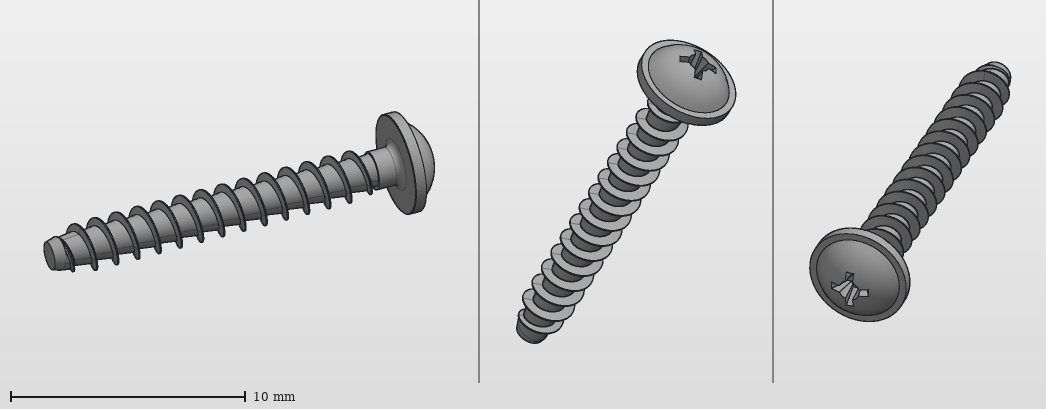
import cadquery as cq
import math


flange_radius = 2.2
flange_thickness = 0.5
flange_edge_chamfer = 0.03
dome_base_radius = 1.89
dome_apex_height = 1.62

recess_depth = 1.0
wing_width = 0.33
wing_half_length = 0.93
wing_taper_angle = 26.5
recess_core_radius = 0.47
recess_core_bottom_radius = 0.3

neck_radius = 0.84
neck_length = 1.1
neck_fillet = 0.31
shank_length = 16.0
core_radius = 0.67
tip_radius = 0.62
tip_taper_length = 0.5
tip_taper_radius = 0.765

pitch = 0.98
thread_radius = 1.1
thread_foot_radius = 0.77
faded_thread_radius = 0.78
crest_width = 0.06
foot_width = 0.22
turn_gap = 0.025
ramp_end_step = 0.002
buried_depth = 0.03
ridge_inner_radius = 0.5
thread_origin = -0.41

lead_in_end = 1.0
run_in_end = 2.5
run_out_start = 15.25
run_out_end = 16.25
thread_end = 17.5
crest_stations = [
    (0.0, faded_thread_radius),
    (lead_in_end, faded_thread_radius),
    (run_in_end, thread_radius),
    (run_out_start, thread_radius),
    (run_out_end, faded_thread_radius),
    (thread_end, faded_thread_radius),
]


clearance = 1.0
fuse_tolerance = 1e-4


def revolved_body():
    """Head with its domed top, neck and plain core as one profile turned about Y."""
    dome_rise = dome_apex_height - flange_thickness
    dome_sphere_radius = (dome_base_radius**2 + dome_rise**2) / (2 * dome_rise)
    dome_center = dome_apex_height - dome_sphere_radius
    dome_mid_radius = dome_base_radius / 2
    dome_mid_height = dome_center + math.sqrt(dome_sphere_radius**2 - dome_mid_radius**2)
    fillet_corner = neck_fillet * (1 - math.sqrt(0.5))
    return (
        cq.Workplane("YZ")
        .moveTo(dome_apex_height, 0)
        .threePointArc((dome_mid_height, dome_mid_radius), (flange_thickness, dome_base_radius))
        .lineTo(flange_thickness, flange_radius)
        .lineTo(flange_edge_chamfer, flange_radius)
        .lineTo(0, flange_radius - flange_edge_chamfer)
        .lineTo(0, neck_radius + neck_fillet)
        .threePointArc((-fillet_corner, neck_radius + fillet_corner), (-neck_fillet, neck_radius))
        .lineTo(-neck_length, neck_radius)
        .lineTo(-neck_length, core_radius)
        .lineTo(-shank_length, core_radius)
        .lineTo(-shank_length, 0)
        .close()
        .revolve(360, (0, 0), (1, 0))
    )


def ridge_section(crest_radius):
    """Corners (radius, axial offset) of the thread ridge; offsets grow towards the tip."""
    ramp_end = pitch - foot_width / 2 - turn_gap
    return [
        (ridge_inner_radius, -foot_width / 2),
        (core_radius - buried_depth, -foot_width / 2),
        (crest_radius, -crest_width / 2),
        (crest_radius, crest_width / 2),
        (thread_foot_radius, foot_width / 2),
        (core_radius + ramp_end_step, ramp_end),
        (ridge_inner_radius, ramp_end),
    ]


def crest_radius_at(turn):
    """Crest radius at a turn, read off the straight stretches between stations."""
    for (turn_a, crest_a), (turn_b, crest_b) in zip(crest_stations, crest_stations[1:]):
        if turn_a <= turn <= turn_b:
            return crest_a + (crest_b - crest_a) * (turn - turn_a) / (turn_b - turn_a)


def helix_edge(start_turn, end_turn, start_radius, end_radius, offset):
    """Right-handed helix about Z whose radius changes evenly from start to end."""
    height = (end_turn - start_turn) * pitch
    cone_angle = math.degrees(math.atan2(end_radius - start_radius, height))
    if start_radius == end_radius:
        helix = cq.Wire.makeHelix(pitch, height, start_radius)
    else:
        slant = 1 / math.cos(math.radians(cone_angle))
        helix = cq.Wire.makeHelix(pitch * slant, height * slant, start_radius, angle=cone_angle)
    lift = thread_origin + start_turn * pitch + offset
    turned = helix.rotate(cq.Vector(0, 0, 0), cq.Vector(0, 0, 1), 360 * start_turn)
    return turned.translate(cq.Vector(0, 0, lift)).Edges()[0]


def end_cap(turn, crest_radius):
    """Flat face closing the ridge at one of its ends."""
    corners = [
        cq.Vector(radius, 0, thread_origin + turn * pitch + offset)
        for radius, offset in ridge_section(crest_radius)
    ]
    outline = cq.Wire.makePolygon(corners, close=True)
    face = cq.Face.makeFromWires(outline)
    return face.rotate(cq.Vector(0, 0, 0), cq.Vector(0, 0, 1), 360 * turn)


def thread_ridge():
    """Ridge wound about Z, then turned so that it advances along -Y."""
    station_turns = {turn for turn, _ in crest_stations}
    turns = sorted(station_turns.union(range(math.ceil(thread_end))))
    sections = [(turn, crest_radius_at(turn)) for turn in turns]
    faces = [end_cap(*sections[0]), end_cap(*sections[-1])]
    for (turn_a, crest_a), (turn_b, crest_b) in zip(sections, sections[1:]):
        corners = zip(ridge_section(crest_a), ridge_section(crest_b))
        edges = [helix_edge(turn_a, turn_b, a[0], b[0], a[1]) for a, b in corners]
        for edge, next_edge in zip(edges, edges[1:] + edges[:1]):
            faces.append(cq.Face.makeRuledSurface(edge, next_edge))
    shell = cq.Shell.makeShell(faces)
    solid = cq.Solid.makeSolid(shell)
    return cq.Workplane(solid).rotate((0, 0, 0), (1, 0, 0), 90)


def tip_trim():
    """Space around and beyond the tapered tip."""
    clear_radius = thread_radius + clearance
    clear_end = -shank_length - 3 * pitch
    return (
        cq.Workplane("YZ")
        .moveTo(-shank_length, 0)
        .lineTo(-shank_length, tip_radius)
        .lineTo(tip_taper_length - shank_length, tip_taper_radius)
        .lineTo(tip_taper_length - shank_length, clear_radius)
        .lineTo(clear_end, clear_radius)
        .lineTo(clear_end, 0)
        .close()
        .revolve(360, (0, 0), (1, 0))
    )


def neck_clearance():
    """Space around the neck, which the thread stays out of."""
    return (
        cq.Workplane("XZ")
        .workplane(offset=neck_length)
        .circle(thread_radius + clearance)
        .extrude(-(neck_length + pitch))
    )


def cross_recess():
    """Four tapered wings around a tapered centre, sunk into the dome."""
    bottom = dome_apex_height - recess_depth
    wing_bottom = wing_half_length - recess_depth * math.tan(math.radians(wing_taper_angle))
    wing_pair = (
        cq.Workplane("XY")
        .moveTo(-wing_half_length, dome_apex_height)
        .lineTo(wing_half_length, dome_apex_height)
        .lineTo(wing_bottom, bottom)
        .lineTo(-wing_bottom, bottom)
        .close()
        .extrude(wing_width / 2, both=True)
    )
    center = (
        cq.Workplane("YZ")
        .moveTo(bottom, 0)
        .lineTo(bottom, recess_core_bottom_radius)
        .lineTo(dome_apex_height, recess_core_radius)
        .lineTo(dome_apex_height, 0)
        .close()
        .revolve(360, (0, 0), (1, 0))
    )
    crossing_pair = wing_pair.rotate((0, 0, 0), (0, 1, 0), 90)
    return wing_pair.union(crossing_pair).union(center)


trim = tip_trim()
shank_and_head = revolved_body().cut(trim)
ridge = thread_ridge().cut(trim).cut(neck_clearance())
result = shank_and_head.union(ridge, tol=fuse_tolerance).cut(cross_recess())